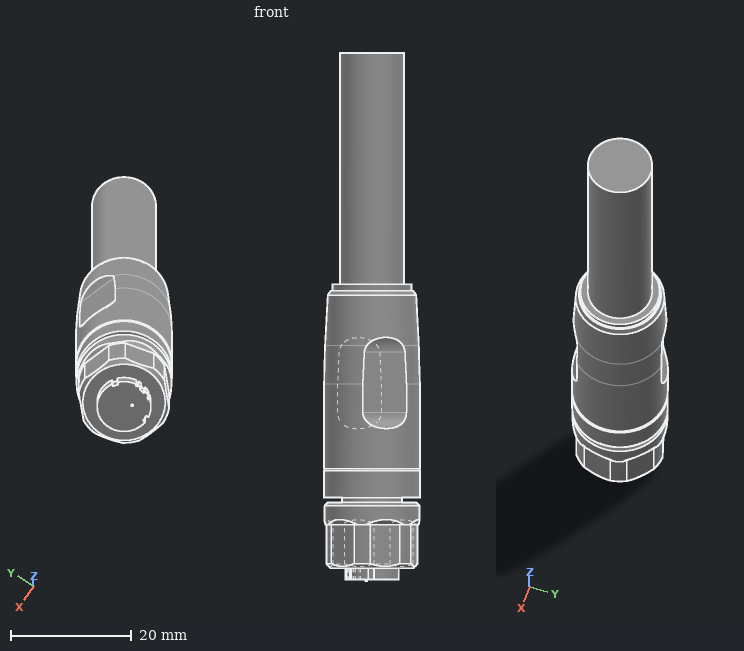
import cadquery as cq
import math

TOTAL_HEIGHT = 87.5
CLOCKING = 17.5

INSERT_RADIUS = 4.5
INSERT_BOTTOM = 0.3
TIP_RADIUS = 0.2
TIP_X = -1.0
TIP_Y = -1.0

NUT_BOTTOM = 2.1
HEX_TOP = 9.4
NUT_TOP = 13.0
NUT_RADIUS = 7.9
NUT_TOP_CHAMFER = 0.5
HEX_CORNER_RADIUS = 7.6
HEX_APOTHEM = 7.2
HEX_BOTTOM_CHAMFER = 0.8
HEX_SIDES = 6
HEX_RUNOUT_ANGLE = 50.0

NECK_RADIUS = 5.0

BODY_BOTTOM = 13.8
BODY_RADIUS = 8.0
RING_GROOVE_Z = 18.5
RING_GROOVE_WIDTH = 0.35
RING_GROOVE_DEPTH = 0.1
STRAIGHT_TOP = 32.7
SHOULDER_Z = 39.0
SHOULDER_RADIUS = 7.8
TAPER_TOP = 47.3
TAPER_TOP_RADIUS = 7.35
COLLAR_BOTTOM = 48.1
COLLAR_RADIUS = 6.6
COLLAR_SEAT_RADIUS = 6.8
COLLAR_TOP = 49.2
CABLE_RADIUS = 5.3

POCKET_FLAT_DISTANCE = 7.0
POCKET_FLAT_BOTTOM = 28.0
POCKET_FLAT_TOP = 38.0
POCKET_END_RADIUS = 4.4

INSERT_GROOVES = [
    (126.0, 1.0, 0.4),
    (176.5, 0.4, 0.3),
    (193.0, 1.0, 0.4),
    (217.0, 0.4, 0.3),
    (268.0, 1.0, 0.4),
]


def cylinder(radius, bottom, top):
    return cq.Workplane("XY").workplane(offset=bottom).circle(radius).extrude(top - bottom)


def turn(shape, angle):
    return shape.rotate((0, 0, 0), (0, 0, 1), angle)


def make_body():
    """Barrel with a slightly rounded taper, closed by a collar around the cable."""
    body = (
        cq.Workplane("XZ")
        .moveTo(0, BODY_BOTTOM)
        .lineTo(BODY_RADIUS, BODY_BOTTOM)
        .lineTo(BODY_RADIUS, STRAIGHT_TOP)
        .tangentArcPoint((SHOULDER_RADIUS, SHOULDER_Z), relative=False)
        .tangentArcPoint((TAPER_TOP_RADIUS, TAPER_TOP), relative=False)
        .lineTo(COLLAR_SEAT_RADIUS, COLLAR_BOTTOM)
        .lineTo(COLLAR_RADIUS, COLLAR_BOTTOM)
        .lineTo(COLLAR_RADIUS, COLLAR_TOP)
        .lineTo(0, COLLAR_TOP)
        .close()
        .revolve(360, (0, 0, 0), (0, 1, 0))
    )
    groove_bottom = RING_GROOVE_Z - RING_GROOVE_WIDTH / 2
    groove_top = RING_GROOVE_Z + RING_GROOVE_WIDTH / 2
    ring = cylinder(2 * BODY_RADIUS, groove_bottom, groove_top).cut(
        cylinder(BODY_RADIUS - RING_GROOVE_DEPTH, groove_bottom, groove_top)
    )
    return body.cut(ring)


def make_pocket_cutter():
    """Flat floor facing +X whose two ends sweep outward along tangent arcs."""
    r = POCKET_END_RADIUS
    floor = POCKET_FLAT_DISTANCE
    return (
        cq.Workplane("XZ")
        .moveTo(floor, POCKET_FLAT_BOTTOM)
        .lineTo(floor, POCKET_FLAT_TOP)
        .tangentArcPoint((floor + r, POCKET_FLAT_TOP + r), relative=False)
        .lineTo(floor + r, POCKET_FLAT_BOTTOM - r)
        .radiusArc((floor, POCKET_FLAT_BOTTOM), r)
        .close()
        .extrude(BODY_RADIUS, both=True)
    )


def make_nut():
    """Round flange above a hexagon with rounded corners."""
    flange = cylinder(NUT_RADIUS, HEX_TOP, NUT_TOP).faces(">Z").chamfer(NUT_TOP_CHAMFER)
    grip = cylinder(HEX_CORNER_RADIUS, NUT_BOTTOM, HEX_TOP).faces("<Z").chamfer(HEX_BOTTOM_CHAMFER)
    nut = flange.union(grip)

    reach = 2 * (NUT_RADIUS - HEX_APOTHEM)
    rise = reach * math.tan(math.radians(HEX_RUNOUT_ANGLE))
    flat_cutter = (
        cq.Workplane("XZ")
        .moveTo(HEX_APOTHEM, NUT_BOTTOM)
        .lineTo(HEX_APOTHEM, HEX_TOP)
        .lineTo(HEX_APOTHEM + reach, HEX_TOP + rise)
        .lineTo(HEX_APOTHEM + reach, NUT_BOTTOM)
        .close()
        .extrude(NUT_RADIUS, both=True)
    )
    pitch = 360 / HEX_SIDES
    for side in range(HEX_SIDES):
        nut = nut.cut(turn(flat_cutter, CLOCKING + pitch * (side + 0.5)))
    return nut


def make_insert():
    """Mating cylinder with grooves along its outside and a small tip below its face."""
    insert = cylinder(INSERT_RADIUS, INSERT_BOTTOM, NUT_BOTTOM)
    for angle, width, depth in INSERT_GROOVES:
        groove = cq.Workplane("XY").box(2 * depth, width, NUT_BOTTOM, centered=(True, True, False))
        insert = insert.cut(turn(groove.translate((INSERT_RADIUS, 0, 0)), angle))
    tip = cylinder(TIP_RADIUS, 0, NUT_BOTTOM).translate((TIP_X, TIP_Y, 0))
    return insert.union(tip)


body = make_body()
for pocket_angle in (CLOCKING - 90, CLOCKING + 90):
    body = body.cut(turn(make_pocket_cutter(), pocket_angle))

neck = cylinder(NECK_RADIUS, NUT_TOP, BODY_BOTTOM)
cable = cylinder(CABLE_RADIUS, COLLAR_TOP, TOTAL_HEIGHT)

result = make_insert().union(make_nut()).union(neck).union(body).union(cable)